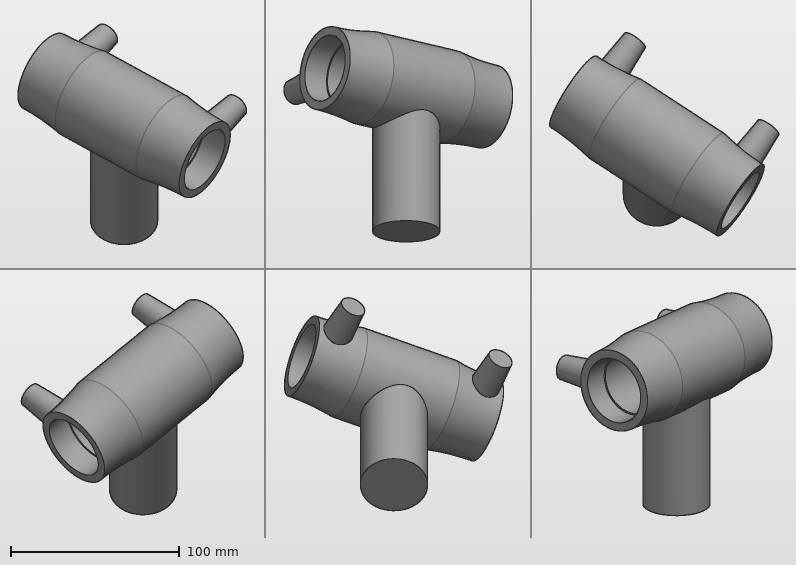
import cadquery as cq

sleeve_length = 120.0
sleeve_diameter = 56.0
end_diameter = 50.3
straight_length = 60.0

bore_diameter = 38.0
socket_diameter = 40.0
socket_depth = 16.0

branch_diameter = 40.0
branch_reach = 90.0

terminal_spacing = 96.0
terminal_tip_diameter = 15.1
terminal_root_diameter = 18.7
terminal_root_distance = 23.4
overall_depth = 75.0
terminal_reach = overall_depth - sleeve_diameter / 2

half_length = sleeve_length / 2
half_straight = straight_length / 2
sleeve_radius = sleeve_diameter / 2
end_radius = end_diameter / 2


def flared_sleeve():
    """Revolved body whose concave shoulders run level at the end faces."""
    mid_x, mid_radius = shoulder_midpoint()
    return (
        cq.Workplane("XY")
        .moveTo(-half_length, 0)
        .lineTo(-half_length, end_radius)
        .threePointArc((-mid_x, mid_radius), (-half_straight, sleeve_radius))
        .lineTo(half_straight, sleeve_radius)
        .threePointArc((mid_x, mid_radius), (half_length, end_radius))
        .lineTo(half_length, 0)
        .close()
        .revolve(360, (0, 0, 0), (1, 0, 0))
    )


def shoulder_midpoint():
    """Point halfway along the right shoulder, on an arc level at the end face."""
    run = half_length - half_straight
    rise = sleeve_radius - end_radius
    arc_radius = (run**2 + rise**2) / (2 * rise)
    mid_run = run / 2
    mid_rise = arc_radius - (arc_radius**2 - mid_run**2) ** 0.5
    return half_length - mid_run, end_radius + mid_rise


def branch():
    return cq.Workplane("XY").circle(branch_diameter / 2).extrude(-branch_reach)


def terminal(x):
    """Tapered stub that starts inside the sleeve wall."""
    cone = cq.Solid.makeCone(
        terminal_root_diameter / 2,
        terminal_tip_diameter / 2,
        terminal_reach - terminal_root_distance,
        cq.Vector(x, terminal_root_distance, 0),
        cq.Vector(0, 1, 0),
    )
    return cq.Workplane(obj=cone)


def stepped_bore():
    start = cq.Workplane("YZ").workplane(offset=-half_length)
    bore = start.circle(bore_diameter / 2).extrude(sleeve_length)
    left_socket = start.circle(socket_diameter / 2).extrude(socket_depth)
    right_socket = left_socket.mirror("YZ")
    return bore.union(left_socket).union(right_socket)


result = flared_sleeve().union(branch())
for side in (-1, 1):
    result = result.union(terminal(side * terminal_spacing / 2))
result = result.cut(stepped_bore())